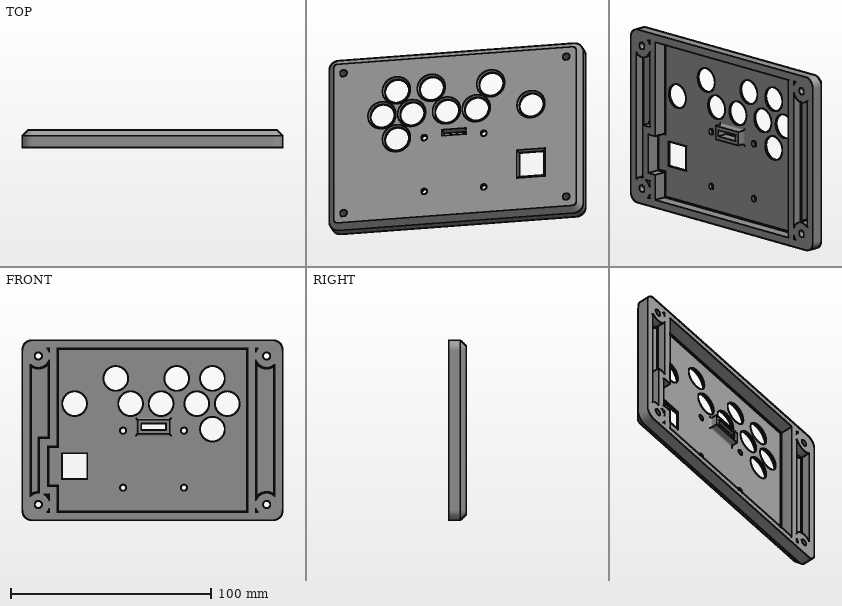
import cadquery as cq

length = 130.0
height = 90.0
depth = 9.0
corner_radius = 5.0
back_chamfer = 3.0

wall = 4.0
side_pocket_width = 9.5
main_pocket_depth = 7.0
side_pocket_depth = 5.0
floor_bevel = 0.5
notch_step = 5.0
notch_height = 20.0
notch_center_z = -18.0

post_x = 57.0
post_z = 37.0
post_radius = 5.8
screw_hole_diameter = 3.5

button_diameter = 12.2
button_row_top = 25.9
button_row_middle = 13.3
button_row_bottom = 0.5
button_centers = [
    (-18.3, button_row_top),
    (12.1, button_row_top),
    (29.9, button_row_top),
    (-38.9, button_row_middle),
    (-10.9, button_row_middle),
    (4.3, button_row_middle),
    (22.1, button_row_middle),
    (37.3, button_row_middle),
    (29.9, button_row_bottom),
]
opening_bevel = 1.0
window_center_x = -38.9
window_width = 12.5
window_height = 12.7

board_hole_diameter = 3.0
board_hole_spacing_x = 30.4
board_hole_spacing_z = 28.5
board_center_x = 0.5
board_center_z = -14.4

boss_width = 16.0
boss_height = 7.0
boss_rise = 3.9
boss_base_fillet = 1.0
boss_center_z = 1.7
slot_width = 12.2
slot_height = 3.1

slab_half_thickness = 0.1

pocket_top = height / 2 - wall
side_outer_x = length / 2 - wall
side_inner_x = side_outer_x - side_pocket_width
main_x = side_inner_x - wall
notch_top = notch_center_z + notch_height / 2
notch_bottom = notch_center_z - notch_height / 2


def plane_at(y):
    """XZ sketch plane at the given Y; a negative extrusion goes toward +Y."""
    return cq.Workplane("XZ", origin=(0, y, 0))


def edges_in_slab(x, z, width, tall, y):
    """Selector for edges centered in an XZ rectangle, within a thin slab at the given Y."""
    return cq.selectors.BoxSelector(
        (x - width / 2, y - slab_half_thickness, z - tall / 2),
        (x + width / 2, y + slab_half_thickness, z + tall / 2),
    )


def pocket(outline, pocket_depth):
    """Cutting body of a pocket whose floor meets the walls in a bevel."""
    body = plane_at(0).polyline(outline).close().extrude(-pocket_depth)
    return body.faces(">Y").edges().chamfer(floor_bevel)


def screw_post(x, z):
    """Post that fills a pocket end, with a flared foot on the side pocket floor."""
    post = plane_at(0).center(x, z).circle(post_radius).extrude(-side_pocket_depth)
    foot = (
        plane_at(side_pocket_depth)
        .center(x, z)
        .circle(post_radius + floor_bevel)
        .workplane(offset=floor_bevel)
        .circle(post_radius)
        .loft()
    )
    return post.union(foot)


body = (
    plane_at(0)
    .rect(length, height)
    .extrude(-depth)
    .edges("|Y")
    .fillet(corner_radius)
    .faces(">Y")
    .edges()
    .chamfer(back_chamfer)
)

main_outline = [
    (-main_x, pocket_top),
    (main_x, pocket_top),
    (main_x, -pocket_top),
    (-main_x, -pocket_top),
    (-main_x, notch_bottom),
    (-main_x - notch_step, notch_bottom),
    (-main_x - notch_step, notch_top),
    (-main_x, notch_top),
]
body = body.cut(pocket(main_outline, main_pocket_depth))

right_outline = [
    (side_inner_x, pocket_top),
    (side_outer_x, pocket_top),
    (side_outer_x, -pocket_top),
    (side_inner_x, -pocket_top),
]
left_outline = [
    (-side_outer_x, pocket_top),
    (-side_inner_x, pocket_top),
    (-side_inner_x, notch_top + wall),
    (-side_inner_x - notch_step, notch_top + wall),
    (-side_inner_x - notch_step, notch_bottom - wall),
    (-side_inner_x, notch_bottom - wall),
    (-side_inner_x, -pocket_top),
    (-side_outer_x, -pocket_top),
]
side_pockets = pocket(right_outline, side_pocket_depth).union(pocket(left_outline, side_pocket_depth))
post_centers = [(sx * post_x, sz * post_z) for sx in (-1, 1) for sz in (-1, 1)]
for x, z in post_centers:
    side_pockets = side_pockets.cut(screw_post(x, z))
body = body.cut(side_pockets)

boss = (
    plane_at(main_pocket_depth - boss_rise)
    .center(board_center_x, boss_center_z)
    .rect(boss_width, boss_height)
    .extrude(-boss_rise)
)
body = body.union(boss)
foot_edges = edges_in_slab(board_center_x, boss_center_z, 2 * boss_width, 2 * boss_height, main_pocket_depth)
body = body.edges(foot_edges).fillet(boss_base_fillet)

buttons = plane_at(0).pushPoints(button_centers).circle(button_diameter / 2).extrude(-depth)
window = plane_at(0).center(window_center_x, notch_center_z).rect(window_width, window_height).extrude(-depth)
body = body.cut(buttons).cut(window)
opening_rims = edges_in_slab(0, 0, 2 * main_x, 2 * pocket_top, depth)
body = body.edges(opening_rims).chamfer(opening_bevel)

screw_holes = plane_at(0).pushPoints(post_centers).circle(screw_hole_diameter / 2).extrude(-depth)
board_holes = (
    plane_at(0)
    .center(board_center_x, board_center_z)
    .rect(board_hole_spacing_x, board_hole_spacing_z, forConstruction=True)
    .vertices()
    .circle(board_hole_diameter / 2)
    .extrude(-depth)
)
slot = plane_at(0).center(board_center_x, boss_center_z).rect(slot_width, slot_height).extrude(-depth)

result = body.cut(screw_holes).cut(board_holes).cut(slot)